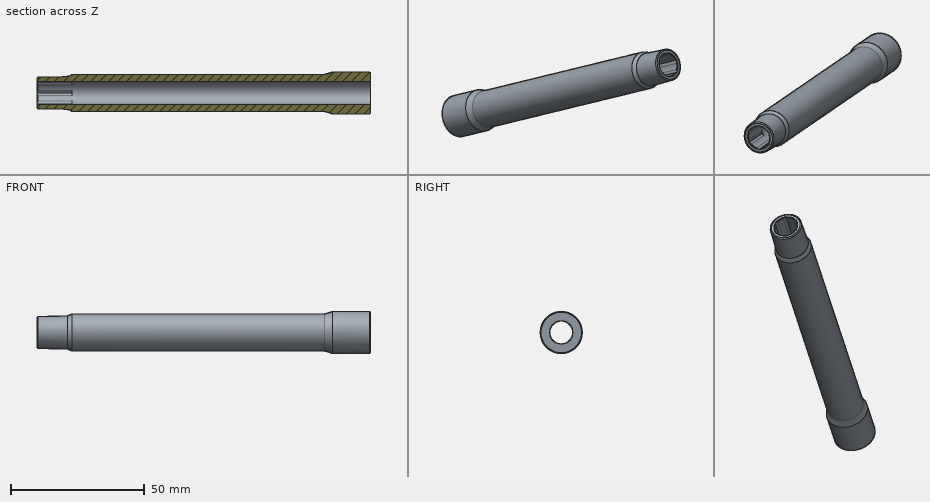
import cadquery as cq
import math

length = 125.0

tip_radius = 6.0
neck_end_radius = 6.25
body_radius = 7.0
head_radius = 7.9

neck_end = 11.4
body_start = 13.2
body_end = 107.7
head_start = 110.7

tip_chamfer_depth = 0.5
tip_chamfer_length = 0.3
head_chamfer = 0.3

flare_hollow = 0.07

bore_radius = 4.25
hex_across_flats = 8.16
hex_depth = body_start
bore_entry_radius = 4.55
bore_entry_length = 0.3


def make_outside():
    """Solid of revolution about X: tapered neck, shoulder, long body, flare and head."""
    flare_mid = (body_end + head_start) / 2
    flare_mid_radius = (body_radius + head_radius) / 2 - flare_hollow
    return (
        cq.Workplane("XZ")
        .moveTo(0, 0)
        .lineTo(0, tip_radius - tip_chamfer_depth)
        .lineTo(tip_chamfer_length, tip_radius)
        .lineTo(neck_end, neck_end_radius)
        .lineTo(body_start, body_radius)
        .lineTo(body_end, body_radius)
        .threePointArc((flare_mid, flare_mid_radius), (head_start, head_radius))
        .lineTo(length - head_chamfer, head_radius)
        .lineTo(length, head_radius - head_chamfer)
        .lineTo(length, 0)
        .close()
        .revolve(360, (0, 0, 0), (1, 0, 0))
    )


def make_bore():
    """Through bore with a conical entry at the tip."""
    return (
        cq.Workplane("XZ")
        .moveTo(0, 0)
        .lineTo(0, bore_entry_radius)
        .lineTo(bore_entry_length, bore_radius)
        .lineTo(length, bore_radius)
        .lineTo(length, 0)
        .close()
        .revolve(360, (0, 0, 0), (1, 0, 0))
    )


def make_hex_socket():
    """Hexagon with corners at +Z and -Z; only its corners reach outside the bore."""
    across_corners = hex_across_flats / math.cos(math.pi / 6)
    return (
        cq.Workplane("YZ")
        .transformed(rotate=(0, 0, 90))
        .polygon(6, across_corners)
        .extrude(hex_depth)
    )


result = make_outside().cut(make_bore()).cut(make_hex_socket())